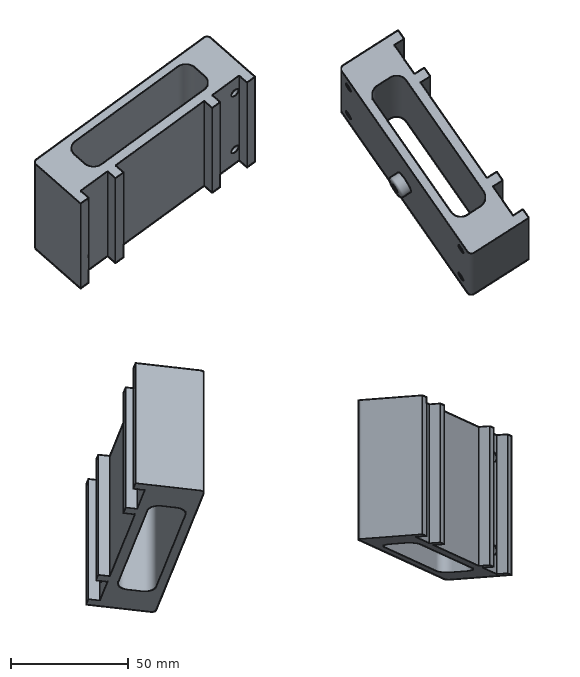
import cadquery as cq

length = 100.0
height = 60.0
body_depth = 25.0
corner_radius = 2.0

front_wall = 4.0
window_depth = 16.5
window_length = 68.8
window_radius = 5.0

rib_depth = 5.0
rib_width = 4.6
rib_pitch = 20.0

hole_diameter = 4.0
hole_spacing_y = 86.0
hole_spacing_z = 40.0

boss_diameter = 10.0
boss_length = 5.0
boss_edge_radius = 1.0
boss_bore_diameter = 4.0

overlap = 1.0


def make_body():
    body = cq.Workplane("XY").box(body_depth, length, height, centered=(False, True, True))
    body = body.faces("<X").edges("|Z").fillet(corner_radius)
    window = (
        cq.Workplane("XY")
        .box(window_depth, window_length, height, centered=(False, True, True))
        .edges("|Z")
        .fillet(window_radius)
        .translate((front_wall, 0, 0))
    )
    return body.cut(window)


def make_ribs():
    outer_y = (length - rib_width) / 2
    inner_y = outer_y - rib_pitch
    rib_x = body_depth + (rib_depth - overlap) / 2
    centres = [(rib_x, side * y) for side in (-1, 1) for y in (inner_y, outer_y)]
    return (
        cq.Workplane("XY")
        .pushPoints(centres)
        .rect(rib_depth + overlap, rib_width)
        .extrude(height / 2, both=True)
    )


def make_boss():
    boss = cq.Workplane("YZ").workplane(offset=-boss_length).circle(boss_diameter / 2)
    return boss.extrude(boss_length + overlap).faces("<X").edges().fillet(boss_edge_radius)


def make_mounting_holes():
    return (
        cq.Workplane("YZ")
        .rect(hole_spacing_y, hole_spacing_z, forConstruction=True)
        .vertices()
        .circle(hole_diameter / 2)
        .extrude(body_depth)
    )


def make_boss_bore():
    bore = cq.Workplane("YZ").workplane(offset=-boss_length).circle(boss_bore_diameter / 2)
    return bore.extrude(boss_length)


solid = make_body().union(make_ribs()).union(make_boss())
result = solid.cut(make_mounting_holes()).cut(make_boss_bore())